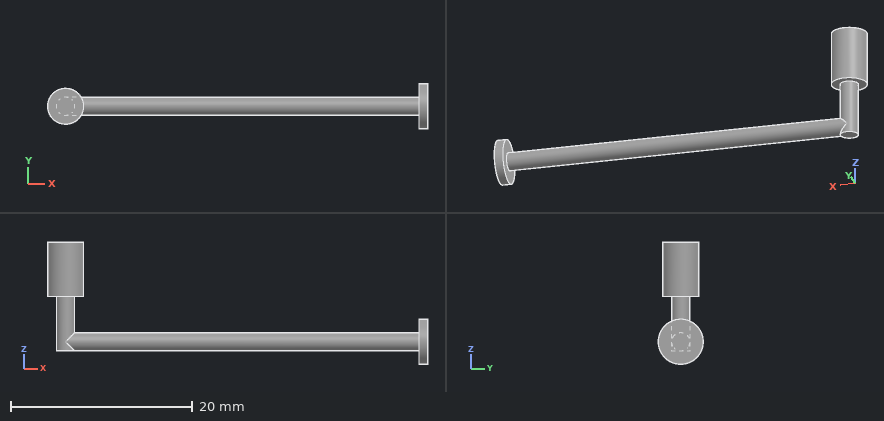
import cadquery as cq

overall_length = 42.0
rod_diameter = 2.0
knob_diameter = 4.0
knob_height = 6.0
post_height = 6.0
flange_diameter = 5.0
flange_thickness = 1.0

flange_outer_x = overall_length - knob_diameter / 2
post_bottom_z = -rod_diameter / 2
knob_bottom_z = post_bottom_z + post_height


def upright_cylinder(diameter, bottom_z, height):
    """Cylinder about the Z axis."""
    return cq.Workplane("XY").workplane(offset=bottom_z).circle(diameter / 2).extrude(height)


def level_cylinder(diameter, start_x, length):
    """Cylinder about the X axis."""
    return cq.Workplane("YZ").workplane(offset=start_x).circle(diameter / 2).extrude(length)


post = upright_cylinder(rod_diameter, post_bottom_z, post_height)
knob = upright_cylinder(knob_diameter, knob_bottom_z, knob_height)

rod = level_cylinder(rod_diameter, 0, flange_outer_x)
flange = level_cylinder(flange_diameter, flange_outer_x - flange_thickness, flange_thickness)

result = post.union(knob).union(rod).union(flange)